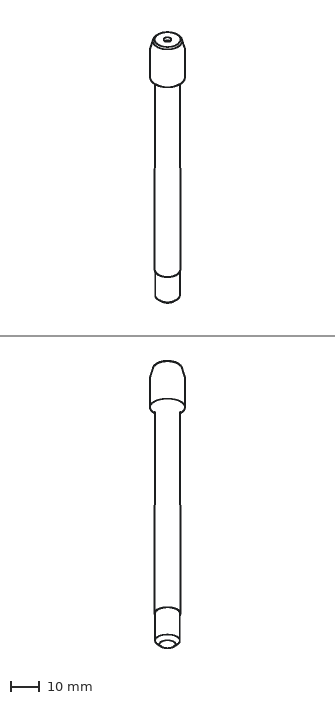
import cadquery as cq
import math

total_length = 110.0

head_diameter = 12.16
head_lower_z = 94.02
head_nose_z = 105.65
nose_top_diameter = 10.12
top_chamfer = 0.6

shoulder_diameter = 10.6
shoulder_height = 0.6
neck_fillet_radius = 1.5

upper_shank_diameter = 8.7
lower_shank_diameter = 9.0
ramp_z = 55.0
ramp_length = 0.65

tip_diameter = 8.64
tip_length = 12.2
tip_end_diameter = 5.6
tip_taper_length = 1.45

centre_hole_diameter = 1.6
centre_hole_mouth_diameter = 2.6
countersink_angle = 60.0
centre_hole_depth = 2.0
drill_point_angle = 120.0


def cone_height(radius_change, included_angle):
    """Axial length of a cone that changes radius by the given amount."""
    return radius_change / math.tan(math.radians(included_angle / 2))


def revolve_about_z(profile):
    """Turn a closed half section, drawn in the XZ plane, about the Z axis."""
    return profile.revolve(360, (0, 0, 0), (0, 1, 0))


def make_body():
    """Stepped pin, from the tapered tip at the bottom to the chamfered head at the top."""
    head_radius = head_diameter / 2
    shoulder_radius = shoulder_diameter / 2
    upper_radius = upper_shank_diameter / 2
    lower_radius = lower_shank_diameter / 2
    tip_radius = tip_diameter / 2
    nose_top_radius = nose_top_diameter / 2

    shoulder_z = head_lower_z - shoulder_height
    fillet_sweep = math.acos(1 - (shoulder_radius - upper_radius) / neck_fillet_radius)
    fillet_start_z = shoulder_z - neck_fillet_radius * math.sin(fillet_sweep)
    fillet_middle = (
        upper_radius + neck_fillet_radius * (1 - math.cos(fillet_sweep / 2)),
        fillet_start_z + neck_fillet_radius * math.sin(fillet_sweep / 2),
    )

    profile = (
        cq.Workplane("XZ")
        .moveTo(0, 0)
        .lineTo(tip_end_diameter / 2, 0)
        .lineTo(tip_radius, tip_taper_length)
        .lineTo(tip_radius, tip_length)
        .lineTo(lower_radius, tip_length)
        .lineTo(lower_radius, ramp_z)
        .lineTo(upper_radius, ramp_z + ramp_length)
        .lineTo(upper_radius, fillet_start_z)
        .threePointArc(fillet_middle, (shoulder_radius, shoulder_z))
        .lineTo(head_radius, head_lower_z)
        .lineTo(head_radius, head_nose_z)
        .lineTo(nose_top_radius, total_length - top_chamfer)
        .lineTo(nose_top_radius - top_chamfer, total_length)
        .lineTo(0, total_length)
        .close()
    )
    return revolve_about_z(profile)


def make_centre_hole():
    """Drilled hole with a countersunk mouth and a conical bottom."""
    hole_radius = centre_hole_diameter / 2
    mouth_radius = centre_hole_mouth_diameter / 2
    countersink_depth = cone_height(mouth_radius - hole_radius, countersink_angle)
    floor_z = total_length - centre_hole_depth
    profile = (
        cq.Workplane("XZ")
        .moveTo(0, floor_z - cone_height(hole_radius, drill_point_angle))
        .lineTo(hole_radius, floor_z)
        .lineTo(hole_radius, total_length - countersink_depth)
        .lineTo(mouth_radius, total_length)
        .lineTo(0, total_length)
        .close()
    )
    return revolve_about_z(profile)


result = make_body().cut(make_centre_hole())